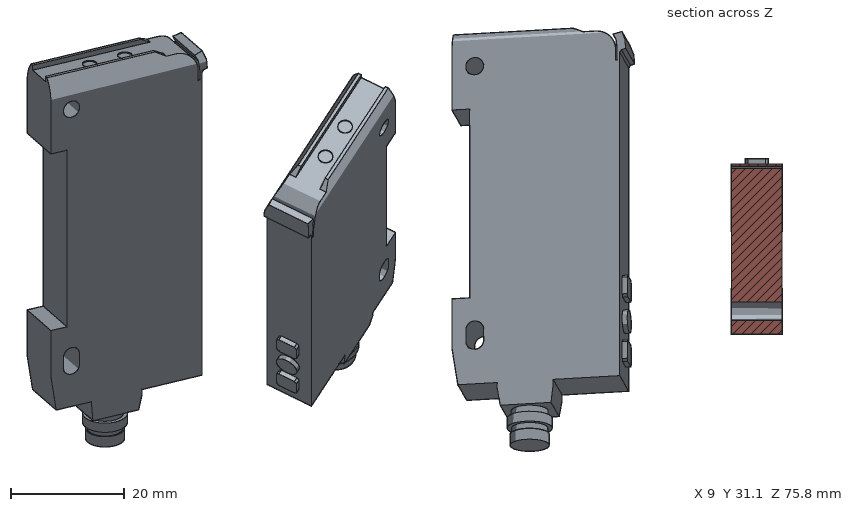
import cadquery as cq
import math

width = 9.0
height = 75.85
front_y = 30.0
base_z = 10.5

recess_depth = 3.2
recess_bottom_z = 26.5
recess_top_z = 61.45
foot_taper_z = 17.4
foot_taper = 1.05

crown_start_z = 71.9
crown_top_width = 6.1
shoulder_width = 7.4
channel_width = 4.85
channel_floor_z = 74.9
rail_foot_y = 23.35
rail_top_y = 21.5
nose_radius = 3.9
indicator_diameter = 2.6
indicator_depth = 0.2
indicator_ys = (10.1, 17.1)

slit_bottom_z = 69.0
slit_width = 0.3
nose_setback = 0.75
nose_y = front_y - nose_setback
nose_center_z = channel_floor_z - nose_radius
latch_y = 31.1
latch_chin_z = 71.1
latch_top_z = 74.4
latch_bend_z = 72.8
latch_bend_setback = 0.15
latch_top_setback = 0.75
latch_throat_z = 70.4
latch_throat_step = 0.3
latch_throat_rise = 0.45
latch_lip_y = 28.75
latch_lip_z = 73.95
latch_gap = 0.1

mount_y = 4.1
mount_diameter = 3.2
mount_hole_z = 69.3
slot_z = 19.5
slot_length = 5.2

button_height = 0.9
button_size = 4.0
button_chamfer = 0.45
square_button_zs = (28.0, 16.0)
round_button_z = 21.9
round_button_diameter = 4.2

connector_y = 13.1
boss_length = 10.0
boss_taper_z = 9.5
boss_bottom_z = 6.4
boss_end_length = 9.1
boss_end_width = 8.2
neck_diameter = 6.5
ring_diameter = 8.0
ring_bottom_z = 3.2
ring_top_z = 5.0
groove_diameter = 6.4
tip_diameter = 6.9
tip_top_z = 2.05


def extrude_across(profile, span):
    """Extrude a YZ profile centred on the width."""
    return profile.extrude(span / 2, both=True)


def make_side_body():
    """Extrude the side outline, including the latch, across the width."""
    nose_mid_offset = nose_radius * math.sqrt(0.5)
    nose_start_y = nose_y - nose_radius
    nose_mid = (nose_start_y + nose_mid_offset, nose_center_z + nose_mid_offset)
    outline = (
        cq.Workplane("YZ")
        .moveTo(foot_taper, base_z)
        .lineTo(front_y, base_z)
        .lineTo(front_y, latch_throat_z)
        .lineTo(front_y + latch_throat_step, latch_throat_z + latch_throat_rise)
        .lineTo(latch_y, latch_chin_z)
        .lineTo(latch_y - latch_bend_setback, latch_bend_z)
        .lineTo(latch_y - latch_top_setback, latch_top_z)
        .lineTo(latch_lip_y, latch_lip_z)
        .lineTo(nose_y + latch_gap, latch_bend_z)
        .lineTo(nose_y + slit_width, nose_center_z)
        .lineTo(nose_y + slit_width, slit_bottom_z)
        .lineTo(nose_y, slit_bottom_z)
        .lineTo(nose_y, nose_center_z)
        .threePointArc(nose_mid, (nose_start_y, channel_floor_z))
        .lineTo(rail_foot_y, channel_floor_z)
        .lineTo(rail_top_y, height)
        .lineTo(0, height)
        .lineTo(0, recess_top_z)
        .lineTo(recess_depth, recess_top_z)
        .lineTo(recess_depth, recess_bottom_z)
        .lineTo(0, recess_bottom_z)
        .lineTo(0, foot_taper_z)
        .close()
    )
    return extrude_across(outline, width)


def make_crown_envelope():
    """Make the cross-section with rounded shoulders and bevelled rails."""
    half_width = width / 2
    half_top = crown_top_width / 2
    half_shoulder = shoulder_width / 2
    inset = half_width - half_shoulder
    rise = channel_floor_z - crown_start_z
    radius = (inset**2 + rise**2) / (2 * inset)
    half_angle = math.asin(rise / radius) / 2
    mid_x = half_width - radius * (1 - math.cos(half_angle))
    mid_z = crown_start_z + radius * math.sin(half_angle)
    return (
        cq.Workplane("XZ")
        .moveTo(-half_width, base_z)
        .lineTo(half_width, base_z)
        .lineTo(half_width, crown_start_z)
        .threePointArc((mid_x, mid_z), (half_shoulder, channel_floor_z))
        .lineTo(half_top, height)
        .lineTo(-half_top, height)
        .lineTo(-half_shoulder, channel_floor_z)
        .threePointArc((-mid_x, mid_z), (-half_width, crown_start_z))
        .close()
        .extrude(-latch_y)
    )


def make_channel():
    """Make the cutter that leaves a rail on each side of the channel floor."""
    return (
        cq.Workplane("XY", origin=(0, rail_foot_y / 2, channel_floor_z))
        .rect(channel_width, rail_foot_y)
        .extrude(height - channel_floor_z)
    )


def make_indicators():
    return (
        cq.Workplane("XY", origin=(0, 0, channel_floor_z))
        .pushPoints([(0, y) for y in indicator_ys])
        .circle(indicator_diameter / 2)
        .extrude(-indicator_depth)
    )


def make_mounting_holes():
    round_hole = cq.Workplane("YZ").center(mount_y, mount_hole_z).circle(mount_diameter / 2)
    slot = cq.Workplane("YZ").center(mount_y, slot_z).slot2D(slot_length, mount_diameter, 90)
    return extrude_across(round_hole, width).union(extrude_across(slot, width))


def make_buttons():
    """Make two square buttons with cut corners and a round one between them."""
    front = cq.Workplane("XZ", origin=(0, front_y, 0))
    squares = (
        front.pushPoints([(0, z) for z in square_button_zs])
        .rect(button_size, button_size)
        .extrude(-button_height)
        .edges("|Y")
        .chamfer(button_chamfer)
    )
    round_button = (
        front.center(0, round_button_z)
        .circle(round_button_diameter / 2)
        .extrude(-button_height)
    )
    return squares.union(round_button)


def make_boss():
    """Make the rectangular connector boss with its tapered lower end."""
    top = cq.Workplane("XY", origin=(0, connector_y, boss_taper_z))
    straight = top.rect(width, boss_length).extrude(base_z - boss_taper_z)
    taper = (
        top.rect(width, boss_length)
        .workplane(offset=boss_bottom_z - boss_taper_z)
        .rect(boss_end_width, boss_end_length)
        .loft(ruled=True)
    )
    return straight.union(taper)


def make_connector():
    """Stack the round sections of the connector along Z."""
    sections = (
        (tip_diameter, 0, tip_top_z),
        (groove_diameter, tip_top_z, ring_bottom_z),
        (ring_diameter, ring_bottom_z, ring_top_z),
        (neck_diameter, ring_top_z, boss_bottom_z),
    )
    connector = make_boss()
    for diameter, bottom_z, top_z in sections:
        section = cq.Workplane("XY", origin=(0, connector_y, bottom_z)).circle(diameter / 2)
        connector = connector.union(section.extrude(top_z - bottom_z))
    return connector


housing = make_side_body().intersect(make_crown_envelope())
housing = housing.cut(make_channel()).cut(make_indicators()).cut(make_mounting_holes())
result = housing.union(make_buttons()).union(make_connector())